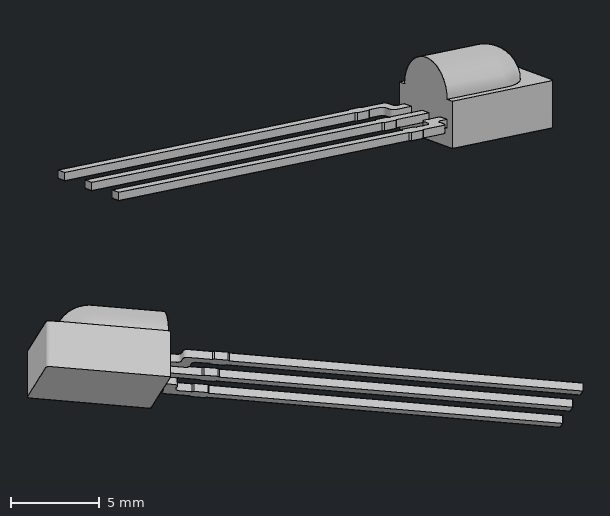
import cadquery as cq

TOTAL_LENGTH = 31.0
HOUSING_WIDTH = 5.0
HOUSING_LENGTH = 7.2
BASE_HEIGHT = 2.8
BACK_EDGE_RADIUS = 0.22
LENS_RADIUS = 2.0
LENS_BACK_GAP = 1.02

LEAD_WIDTH = 0.65
LEAD_THICKNESS = 0.5
LEAD_CENTER_HEIGHT = 1.35
LEAD_PITCH = 2.55
LEAD_LENGTH = TOTAL_LENGTH - HOUSING_LENGTH
SWELL_WIDTH = 0.85
SWELL_START = 2.32
SWELL_LENGTH = 1.0
SWELL_TAPER = (SWELL_WIDTH - LEAD_WIDTH) / 2

ROOT_OFFSET = 1.67
JOG_START = 0.68
BEND_RADIUS = 0.25



def make_housing():
    """Rectangular base with a half-round lens that ends in a spherical dome."""
    base = (
        cq.Workplane("XY")
        .box(HOUSING_WIDTH, HOUSING_LENGTH, BASE_HEIGHT, centered=(True, False, False))
        .edges("|Z and >Y")
        .fillet(BACK_EDGE_RADIUS)
    )
    barrel_length = HOUSING_LENGTH - LENS_BACK_GAP - LENS_RADIUS
    barrel = (
        cq.Workplane("XZ", origin=(0, 0, BASE_HEIGHT))
        .circle(LENS_RADIUS)
        .extrude(-barrel_length)
    )
    dome = cq.Workplane("XY").sphere(LENS_RADIUS).translate((0, barrel_length, BASE_HEIGHT))
    return base.union(barrel).union(dome)


def lead_bar(x_center, width, start, length):
    """Flat bar that begins at distance `start` before the housing front."""
    return (
        cq.Workplane("XY")
        .box(width, length, LEAD_THICKNESS)
        .translate((x_center, -start - length / 2, LEAD_CENTER_HEIGHT))
    )


def add_swell(lead, x_center):
    """Widen the lead over a short stretch with tapered ends."""
    swell = lead_bar(x_center, SWELL_WIDTH, SWELL_START, SWELL_LENGTH)
    return lead.union(swell.edges("|Z").chamfer(SWELL_TAPER))


def make_center_lead():
    return add_swell(lead_bar(0, LEAD_WIDTH, 0, LEAD_LENGTH), 0)


def make_outer_lead(side):
    """Lead that jogs outward in front of the housing; side is -1 or 1."""
    half_width = LEAD_WIDTH / 2
    root_inner = side * (ROOT_OFFSET - half_width)
    root_outer = side * (ROOT_OFFSET + half_width)
    tail_inner = side * (LEAD_PITCH - half_width)
    tail_outer = side * (LEAD_PITCH + half_width)
    jog_end = JOG_START + LEAD_WIDTH
    lead = (
        cq.Workplane("XY", origin=(0, 0, LEAD_CENTER_HEIGHT - LEAD_THICKNESS / 2))
        .moveTo(root_inner, 0)
        .lineTo(root_outer, 0)
        .lineTo(root_outer, -JOG_START)
        .lineTo(tail_outer, -JOG_START)
        .lineTo(tail_outer, -LEAD_LENGTH)
        .lineTo(tail_inner, -LEAD_LENGTH)
        .lineTo(tail_inner, -jog_end)
        .lineTo(root_inner, -jog_end)
        .close()
        .extrude(LEAD_THICKNESS)
    )
    corners = (
        (root_outer, JOG_START),
        (tail_outer, JOG_START),
        (root_inner, jog_end),
        (tail_inner, jog_end),
    )
    for x, distance in corners:
        corner = cq.selectors.NearestToPointSelector((x, -distance, LEAD_CENTER_HEIGHT))
        lead = lead.edges("|Z").edges(corner).fillet(BEND_RADIUS)
    return add_swell(lead, side * LEAD_PITCH)


housing = make_housing()
center_lead = make_center_lead()
outer_leads = [make_outer_lead(side) for side in (-1, 1)]

result = cq.Compound.makeCompound(
    [housing.val(), center_lead.val(), *[lead.val() for lead in outer_leads]]
)